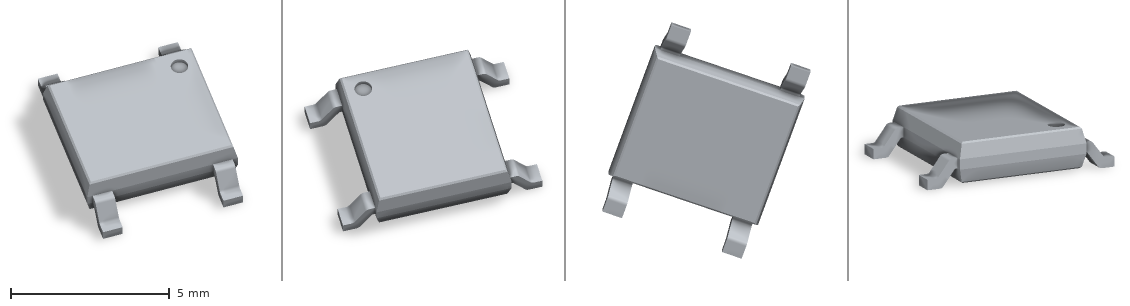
import cadquery as cq

span_x = 6.5
overall_height = 1.45

body_x = 4.41
body_y = 5.0
body_bottom = 0.1
body_top = overall_height
taper_inset = 0.11
edge_inset = 0.06
edge_height = 0.05

marker_diameter = 0.55
marker_depth = 0.15
marker_x = -1.48
marker_y = 1.79

lead_thickness = 0.34
lead_width = 0.65
lead_pitch = 4.0
shoulder_top = 0.93
shoulder_bottom = shoulder_top - lead_thickness
foot_top_length = 0.34
foot_bottom_length = 0.51
slope_run = 0.45
bend_radius = 0.15
inner_bend_radius = 0.065


def frustum(z_start, z_end, inset_start, inset_end):
    """Rectangular block whose four sides lean inward between two levels."""
    return (
        cq.Workplane("XY")
        .workplane(offset=z_start)
        .rect(body_x - 2 * inset_start, body_y - 2 * inset_start)
        .workplane(offset=z_end - z_start)
        .rect(body_x - 2 * inset_end, body_y - 2 * inset_end)
        .loft(ruled=True)
    )


def make_body():
    """Package with a straight middle band, tapered halves and bevelled rims."""
    rim_inset = taper_inset + edge_inset
    levels = [
        (body_bottom, rim_inset),
        (body_bottom + edge_height, taper_inset),
        (shoulder_bottom, 0),
        (shoulder_top, 0),
        (body_top - edge_height, taper_inset),
        (body_top, rim_inset),
    ]
    body = cq.Workplane("XY")
    for (z_start, inset_start), (z_end, inset_end) in zip(levels, levels[1:]):
        body = body.union(frustum(z_start, z_end, inset_start, inset_end))
    marker = (
        cq.Workplane("XY")
        .workplane(offset=body_top - marker_depth)
        .center(marker_x, marker_y)
        .circle(marker_diameter / 2)
        .extrude(marker_depth)
    )
    return body.cut(marker)


def make_lead(y_center):
    """Left-hand gull-wing lead, ending flush against the body side."""
    tip = -span_x / 2
    body_side = -body_x / 2
    upper_foot_x = tip + foot_top_length
    lower_foot_x = tip + foot_bottom_length
    upper_shoulder_x = upper_foot_x + slope_run
    lower_shoulder_x = lower_foot_x + slope_run
    blank = (
        cq.Workplane("XZ", origin=(0, y_center + lead_width / 2, 0))
        .polyline([
            (tip, 0),
            (lower_foot_x, 0),
            (lower_shoulder_x, shoulder_bottom),
            (body_side, shoulder_bottom),
            (body_side, shoulder_top),
            (upper_shoulder_x, shoulder_top),
            (upper_foot_x, lead_thickness),
            (tip, lead_thickness),
        ])
        .close()
        .extrude(lead_width)
    )

    def bend_edge(x, z):
        return cq.selectors.NearestToPointSelector((x, y_center, z))

    for x, z, radius in [
        (lower_foot_x, 0, bend_radius),
        (lower_shoulder_x, shoulder_bottom, inner_bend_radius),
        (upper_shoulder_x, shoulder_top, bend_radius),
        (upper_foot_x, lead_thickness, bend_radius),
    ]:
        blank = blank.edges("|Y").edges(bend_edge(x, z)).fillet(radius)
    return blank


body = make_body()
leads = []
for y_center in (-lead_pitch / 2, lead_pitch / 2):
    left_lead = make_lead(y_center)
    leads.append(left_lead.val())
    leads.append(left_lead.mirror("YZ").val())

result = cq.Compound.makeCompound([body.val(), *leads])